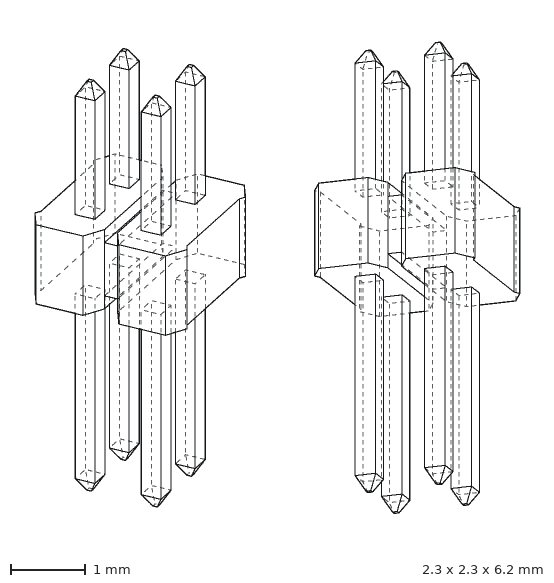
import cadquery as cq
import math


body_size = 2.3
body_height = 1.2
gap_width = 0.2
bevel_angle = math.radians(30)
end_bevel_length = 0.3
side_recess_depth = 0.05
bridge_inset = 0.2

pin_length = 6.2
pin_below_body = 3.0
pin_pitch = 1.0
pin_width = 0.3
tip_height = 0.2

half_body = body_size / 2
half_gap = gap_width / 2
bevel_y = half_body - end_bevel_length
end_bevel_width = end_bevel_length * math.tan(bevel_angle)
recess_y = bevel_y - side_recess_depth / math.tan(bevel_angle)
recess_x = half_body - side_recess_depth
tip_flat = pin_width - 2 * tip_height * math.tan(bevel_angle)


def make_block():
    """Block on the +X side, with bevelled corners and a recessed outer wall."""
    outline = [
        (half_gap, -bevel_y),
        (half_gap + end_bevel_width, -half_body),
        (half_body - end_bevel_width, -half_body),
        (half_body, -bevel_y),
        (recess_x, -recess_y),
        (recess_x, recess_y),
        (half_body, bevel_y),
        (half_body - end_bevel_width, half_body),
        (half_gap + end_bevel_width, half_body),
        (half_gap, bevel_y),
    ]
    return cq.Workplane("XY").polyline(outline).close().extrude(body_height)


def make_bridge():
    """Thinner web that joins the inner walls of the two blocks."""
    bridge_height = body_height - 2 * bridge_inset
    return (
        cq.Workplane("XY")
        .workplane(offset=bridge_inset)
        .rect(gap_width, 2 * bevel_y)
        .extrude(bridge_height)
    )


def make_tip():
    """Truncated pyramid standing on Z = 0."""
    return (
        cq.Workplane("XY")
        .rect(pin_width, pin_width)
        .workplane(offset=tip_height)
        .rect(tip_flat, tip_flat)
        .loft(ruled=True)
    )


def make_pin():
    """Square pin with a tapered tip at each end, placed at its height in the body."""
    shaft_length = pin_length - 2 * tip_height
    shaft = cq.Workplane("XY").rect(pin_width, pin_width).extrude(shaft_length)
    top_tip = make_tip().translate((0, 0, shaft_length))
    bottom_tip = make_tip().mirror("XY")
    pin = shaft.union(top_tip).union(bottom_tip)
    return pin.translate((0, 0, tip_height - pin_below_body))


block = make_block()
result = block.union(block.mirror("YZ")).union(make_bridge())

pin = make_pin()
for x_side in (-1, 1):
    for y_side in (-1, 1):
        position = (x_side * pin_pitch / 2, y_side * pin_pitch / 2, 0)
        result = result.union(pin.translate(position))